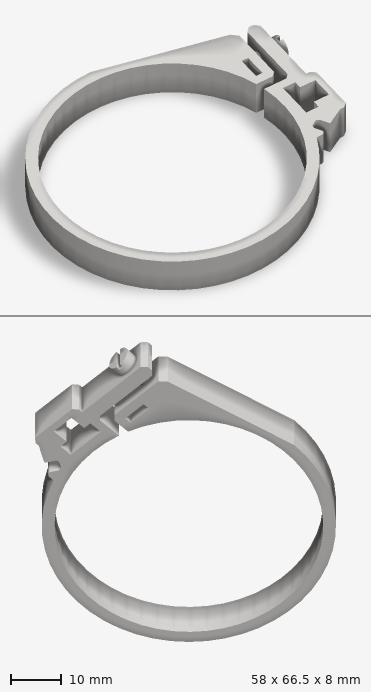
import cadquery as cq
import math

width = 8.0
outer_radius = 29.0
inner_radius = 26.5

lug_right = -8.0
block_left = -6.0

lug_top = 30.05
lug_chamfer = 0.9
lug_top_left = -21.1
lug_shoulder_x = -22.35
lug_shoulder_y = 28.65
lug_slot_left = -14.95
lug_slot_length = 5.05
lug_slot_bottom = 26.5
lug_slot_height = 1.5

arm_left = -22.1
arm_bottom = 31.9
arm_top = 35.05
arm_chamfer = 1.0
arm_root_chamfer = 0.85

block_step_x = -4.9
block_top = 37.0
block_right = 7.05
block_chamfer_x = 0.85
block_chamfer_y = 1.0
lip_right = 11.05
slope_angle = 60.0

stem_width = 4.85
stem_top = 35.5
crossbar_width = 8.25
crossbar_bottom = 29.0

notch_x = 7.4
notch_y = 28.65
notch_width = 2.5
notch_length = 5.3
notch_corner_radius = 0.8
upper_lip_radius = 0.25
lower_lip_radius = 0.5

screw_x = -17.3
screw_top = 66.5 - outer_radius
head_diameter = 5.0
shank_diameter = 3.0
drive_slot_width = 1.0
drive_slot_depth = 0.9


def height_on_circle(radius, x):
    """Positive Y of the circle of this radius at the given X."""
    return math.sqrt(radius**2 - x**2)


def box_cutter(left, bottom, length, height):
    """Block through the full band width, placed by its lower left corner."""
    cutter = cq.Workplane("XY").box(length, height, width, centered=(False, False, True))
    return cutter.translate((left, bottom, 0))


def make_band():
    """Open band with its lug, block and screw arm as one closed outline."""
    slope_drop = (lip_right - block_right) * math.tan(math.radians(slope_angle))
    return (
        cq.Workplane("XY")
        .workplane(offset=-width / 2)
        .moveTo(-outer_radius, 0)
        .threePointArc((0, -outer_radius), (lip_right, height_on_circle(outer_radius, lip_right)))
        .lineTo(lip_right, arm_top - slope_drop)
        .lineTo(block_right, arm_top)
        .lineTo(block_right, block_top - block_chamfer_y)
        .lineTo(block_right - block_chamfer_x, block_top)
        .lineTo(block_step_x + block_chamfer_x, block_top)
        .lineTo(block_step_x, block_top - block_chamfer_y)
        .lineTo(block_step_x, arm_top)
        .lineTo(arm_left + arm_chamfer, arm_top)
        .lineTo(arm_left, arm_top - arm_chamfer)
        .lineTo(arm_left, arm_bottom + arm_chamfer)
        .lineTo(arm_left + arm_chamfer, arm_bottom)
        .lineTo(block_left - arm_root_chamfer, arm_bottom)
        .lineTo(block_left, arm_bottom - arm_root_chamfer)
        .lineTo(block_left, height_on_circle(inner_radius, block_left))
        .threePointArc((0, -inner_radius), (lug_right, height_on_circle(inner_radius, lug_right)))
        .lineTo(lug_right, lug_top - lug_chamfer)
        .lineTo(lug_right - lug_chamfer, lug_top)
        .lineTo(lug_top_left, lug_top)
        .lineTo(lug_shoulder_x, lug_shoulder_y)
        .close()
        .extrude(width)
    )


def cut_notch(body):
    """Cut the slanted round-cornered notch and round its two lips."""
    notch = (
        cq.Workplane("XY")
        .box(notch_length, notch_width, width, centered=(False, True, True))
        .edges("|Z and <X")
        .fillet(notch_corner_radius)
        .rotate((0, 0, 0), (0, 0, 1), 90 - slope_angle)
        .translate((notch_x, notch_y, 0))
    )
    body = body.cut(notch)

    angle = math.radians(90 - slope_angle)
    normal_x, normal_y = math.cos(angle), math.sin(angle)
    depth = (block_right - notch_x) * normal_x + (arm_top - notch_y) * normal_y
    for side, radius in ((1, upper_lip_radius), (-1, lower_lip_radius)):
        offset = side * notch_width / 2
        lip = (
            notch_x + depth * normal_x - offset * normal_y,
            notch_y + depth * normal_y + offset * normal_x,
            0,
        )
        body = body.edges(cq.selectors.NearestToPointSelector(lip)).fillet(radius)
    return body


def cut_openings(body):
    """Cut the T-shaped opening and the small slot in the lug."""
    stem = box_cutter(-stem_width / 2, crossbar_bottom, stem_width, stem_top - crossbar_bottom)
    crossbar = box_cutter(-crossbar_width / 2, crossbar_bottom, crossbar_width, arm_bottom - crossbar_bottom)
    lug_slot = box_cutter(lug_slot_left, lug_slot_bottom, lug_slot_length, lug_slot_height)
    return body.cut(stem).cut(crossbar).cut(lug_slot)


def screw_cylinder(diameter, bottom, top):
    """Cylinder on the screw axis between two Y positions."""
    return (
        cq.Workplane("XZ", origin=(screw_x, bottom, 0))
        .circle(diameter / 2)
        .extrude(bottom - top)
    )


def make_screw():
    """Slotted screw whose shank bridges the arm and the lug."""
    head = screw_cylinder(head_diameter, arm_top, screw_top)
    shank = screw_cylinder(shank_diameter, lug_top, arm_top)
    drive_slot = box_cutter(
        screw_x - drive_slot_width / 2, screw_top - drive_slot_depth, drive_slot_width, drive_slot_depth
    )
    return head.cut(drive_slot).union(shank)


result = cut_openings(cut_notch(make_band())).union(make_screw())